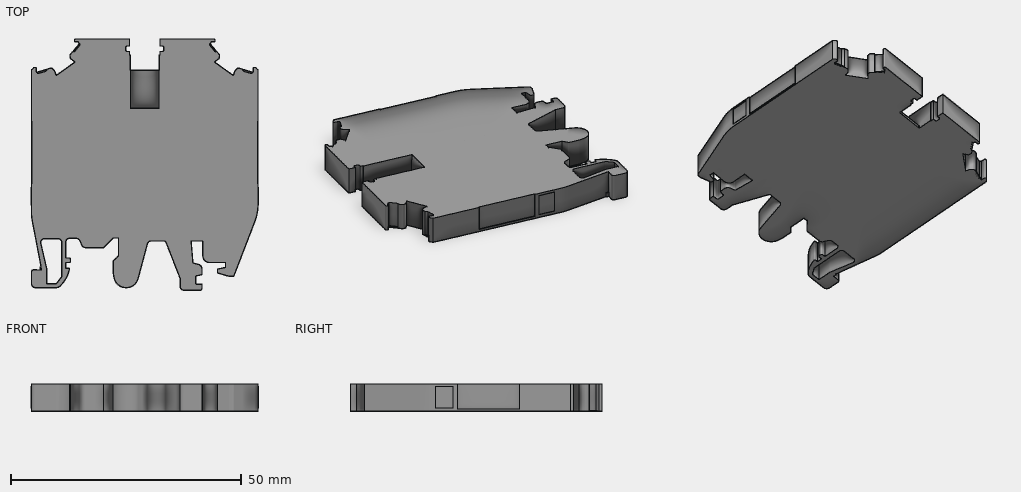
import cadquery as cq
import math

WIDTH = 49.4
HEIGHT = 54.69
THICKNESS = 6.0
PAD_HEIGHT = 0.05
WALL_X = WIDTH / 2 - PAD_HEIGHT

SLOT_HALF_WIDTH = 3.12
SLOT_MOUTH_HALF_WIDTH = 3.28
SLOT_MOUTH_BOTTOM = 51.2
SLOT_BOTTOM = 39.5
SLOT_END_DRAFT = 0.2
SLOT_FLOOR_END = 47.88
SLOT_FLOOR_THICKNESS = 0.7
LATCH_HALF_WIDTH = 4.1
LATCH_LOW = 51.95
LATCH_HIGH = 53.1
LATCH_RADIUS = 0.3

TOE_Y = 0.57
RAIL_SEAT_Y = 10.74
SPRING_TOP_Y = 11.3
SPRING_INNER_X = -18.05
SPRING_OUTER_X = -17.13
BEAD_X = -16.13
BEAD_LOW = 6.03
BEAD_HIGH = 7.07
TONGUE_LEFT_X = -6.88
TONGUE_TAPER_Y = 3.83
TONGUE_TIP_LEFT_X = -6.29
TONGUE_TIP_RIGHT_X = -1.96
TONGUE_RIGHT_TOP_X = 0.76
LEFT_TURN = math.atan2(TONGUE_TAPER_Y - TOE_Y, TONGUE_TIP_LEFT_X - TONGUE_LEFT_X)
RIGHT_TURN = math.atan2(RAIL_SEAT_Y - TOE_Y, TONGUE_RIGHT_TOP_X - TONGUE_TIP_RIGHT_X)
TONGUE_TIP_WIDTH = TONGUE_TIP_RIGHT_X - TONGUE_TIP_LEFT_X
TONGUE_RADIUS = TONGUE_TIP_WIDTH / (math.tan(LEFT_TURN / 2) + math.tan(RIGHT_TURN / 2))
CLIP_LEFT_X = 7.67
CLIP_RIGHT_X = 12.45
CLIP_GROOVE_X = 11.1
HOOK_SEAT_Y = 6.03

LEDGE_THICKNESS = 0.25

RECESS_DEPTH = 0.2
RECESS_Y = (23.27, 36.71)
RECESS_Z = (0.55, THICKNESS)
PAD_Y = (18.54, 22.33)
PAD_Z = (0.75, 5.45)

GUSSET_X = (-22.75, -22.3)
GUSSET_Y = (4.4, 5.13)
GUSSET_HEIGHT = 1.0

MIN_EDGE = 1e-4


def rounded_outline(corners):
    """Closed wire through corners (x, y) or (x, y, radius), with round corners as arcs."""
    spans = []
    for i, corner in enumerate(corners):
        x, y = corner[:2]
        radius = corner[2] if len(corner) == 3 else 0
        if radius == 0:
            spans.append([cq.Vector(x, y)])
            continue
        vertex = cq.Vector(x, y)
        to_previous = (cq.Vector(*corners[i - 1][:2]) - vertex).normalized()
        to_next = (cq.Vector(*corners[(i + 1) % len(corners)][:2]) - vertex).normalized()
        half_angle = to_previous.getAngle(to_next) / 2
        setback = radius / math.tan(half_angle)
        bisector = (to_previous + to_next).normalized()
        nearest = radius / math.sin(half_angle) - radius
        spans.append([vertex + to_previous * setback, vertex + bisector * nearest, vertex + to_next * setback])

    edges = []
    for i, span in enumerate(spans):
        if len(span) == 3:
            edges.append(cq.Edge.makeThreePointArc(*span))
        next_start = spans[(i + 1) % len(spans)][0]
        if (next_start - span[-1]).Length > MIN_EDGE:
            edges.append(cq.Edge.makeLine(span[-1], next_start))
    return cq.Wire.assembleEdges(edges)


def plate(corners, thickness):
    """Plate with a rounded outline, standing on Z = 0."""
    return cq.Workplane(obj=cq.Solid.extrudeLinear(rounded_outline(corners), [], cq.Vector(0, 0, thickness)))


def mirrored(corners):
    """The same corners on the other side of X = 0, in the opposite order."""
    return [(-corner[0], *corner[1:]) for corner in reversed(corners)]


def box(x_range, y_range, z_range):
    """Box between pairs of limits."""
    size = [high - low for low, high in (x_range, y_range, z_range)]
    return cq.Workplane().box(*size, centered=False).translate((x_range[0], y_range[0], z_range[0]))


left_shoulder = [
    (-SLOT_HALF_WIDTH, SLOT_BOTTOM),
    (-SLOT_HALF_WIDTH, SLOT_MOUTH_BOTTOM),
    (-SLOT_MOUTH_HALF_WIDTH, SLOT_MOUTH_BOTTOM),
    (-SLOT_MOUTH_HALF_WIDTH, LATCH_LOW),
    (-LATCH_HALF_WIDTH, LATCH_LOW, LATCH_RADIUS),
    (-LATCH_HALF_WIDTH, LATCH_HIGH, LATCH_RADIUS),
    (-SLOT_MOUTH_HALF_WIDTH, LATCH_HIGH),
    (-SLOT_MOUTH_HALF_WIDTH, HEIGHT),
    (-15.35, HEIGHT, 0.3),
    (-15.25, 54.05, 0.2),
    (-14.5, 54.0),
    (-14.03, 53.39),
    (-15.33, 51.8),
    (-15.6, 51.95),
    (-16.3, 51.2, 0.4),
    (-16.2, 50.4, 0.3),
    (-15.16, 49.65),
    (-19.23, 46.75),
    (-19.55, 47.65, 0.4),
    (-20.2, 48.4, 0.5),
    (-21.1, 48.15),
    (-21.55, 47.6),
    (-23.2, 47.1),
    (-23.52, 47.4),
    (-23.55, 48.55, 0.25),
    (-24.1, 48.45, 0.2),
    (-WALL_X, 47.88),
]

left_ledges = [
    [(-14.27, 53.58), (-14.03, 53.39), (-15.33, 51.8), (-15.6, 51.95)],
    [(-21.1, 48.15), (-21.55, 47.6), (-23.2, 47.1), (-23.52, 47.4)],
]

spring_foot = [
    (-WALL_X, 16.09, 9.5),
    (-22.42, 4.45),
    (-WALL_X, 4.54, 0.55),
    (-WALL_X, TOE_Y, 0.95),
    (-18.78, TOE_Y, 1.2),
    (-16.87, 2.4, 7.0),
    (-16.28, 4.85, 0.2),
    (SPRING_OUTER_X, 4.85),
    (SPRING_OUTER_X, BEAD_LOW),
    (BEAD_X, BEAD_LOW, 0.3),
    (BEAD_X, BEAD_HIGH, 0.3),
    (SPRING_OUTER_X, BEAD_HIGH),
    (SPRING_OUTER_X, SPRING_TOP_Y, 0.75),
    (-14.34, SPRING_TOP_Y, 0.8),
    (-13.45, 9.27, 1.0),
]

tongue = [
    (-8.94, 9.27),
    (-6.86, 11.36),
    (-5.73, 11.36),
    (-5.73, 7.52),
    (TONGUE_LEFT_X, 6.43, 0.3),
    (TONGUE_LEFT_X, TONGUE_TAPER_Y),
    (TONGUE_TIP_LEFT_X, TOE_Y, TONGUE_RADIUS),
    (TONGUE_TIP_RIGHT_X, TOE_Y, TONGUE_RADIUS),
    (TONGUE_RIGHT_TOP_X, RAIL_SEAT_Y, 0.9),
    (4.49, RAIL_SEAT_Y, 0.5),
]

clip_foot = [
    (CLIP_LEFT_X, 2.6),
    (CLIP_LEFT_X, 0, 0.94),
    (CLIP_RIGHT_X, 0, 0.5),
    (CLIP_RIGHT_X, 1.35),
    (CLIP_GROOVE_X, 1.35, 0.2),
    (CLIP_GROOVE_X, 3.12, 0.15),
    (CLIP_RIGHT_X, 3.41),
    (CLIP_RIGHT_X, 5.5, 1.1),
    (10.5, 5.98, 0.2),
    (10.1, RAIL_SEAT_Y),
]

right_hook = [
    (12.6, RAIL_SEAT_Y),
    (12.6, HOOK_SEAT_Y, 1.5),
    (17.51, HOOK_SEAT_Y),
    (17.51, 5.02),
    (15.78, 4.65, 0.1),
    (15.78, 3.79, 0.1),
    (18.35, 3.03),
    (19.35, 3.03, 0.4),
    (WALL_X, 16.8, 10.0),
]

spring_window = [
    (-22.78, 11.2, 0.75),
    (SPRING_INNER_X, 11.2, 0.75),
    (SPRING_INNER_X, 3.0, 0.3),
    (-19.23, 1.47),
    (-21.27, 1.47),
    (-21.27, 4.66),
]


def finish_side_walls(body):
    """Cut the recess and raise the pad on both side walls."""
    recess_x = WALL_X - RECESS_DEPTH
    pad_x = WALL_X + PAD_HEIGHT
    for recess_span, pad_span in (
        ((-WALL_X, -recess_x), (-pad_x, -recess_x)),
        ((recess_x, WALL_X), (recess_x, pad_x)),
    ):
        body = body.cut(box(recess_span, RECESS_Y, RECESS_Z))
        body = body.union(box(pad_span, PAD_Y, PAD_Z))
    return body


def slot_floor():
    """Thin floor at the closed end of the slot, with the end wall drafted down onto it."""
    profile = [
        (SLOT_BOTTOM, 0),
        (SLOT_FLOOR_END, 0),
        (SLOT_FLOOR_END, SLOT_FLOOR_THICKNESS),
        (SLOT_BOTTOM + SLOT_END_DRAFT, SLOT_FLOOR_THICKNESS),
        (SLOT_BOTTOM, THICKNESS),
    ]
    return cq.Workplane("YZ").polyline(profile).close().extrude(SLOT_HALF_WIDTH, both=True)


outline = left_shoulder + spring_foot + tongue + clip_foot + right_hook + mirrored(left_shoulder)

result = plate(outline, THICKNESS)
result = result.cut(plate(spring_window, THICKNESS))
result = finish_side_walls(result)
result = result.union(slot_floor())
for ledge in left_ledges:
    result = result.union(plate(ledge, LEDGE_THICKNESS))
    result = result.union(plate(mirrored(ledge), LEDGE_THICKNESS))
result = result.union(box(GUSSET_X, GUSSET_Y, (0, GUSSET_HEIGHT)))